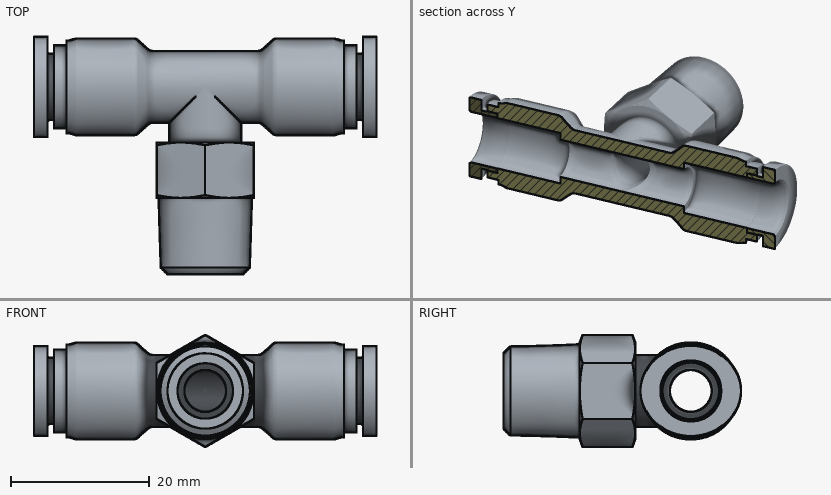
import cadquery as cq
import math


run_end = 24.7
flange_thickness = 2.0
collar_end = 21.8
socket_end = 20.0
lip_length = 0.4
lip_taper_length = 1.05
shoulder_outer = 10.0
shoulder_inner = 8.0
tube_stop = 10.0

pipe_diameter = 10.4
socket_diameter = 14.0
lip_diameter = 13.4
collar_diameter = 12.0
flow_bore = 6.0
tube_bore = 8.15
shoulder_fillet = 0.9

sleeve_diameter = 9.6
sleeve_bore = 8.2
sleeve_mouth_chamfer = 0.3
sleeve_inner_end = 20.2
flange_width = 14.5
flange_height = 13.0
flange_fillet = 0.2
sleeve_neck_fillet = 0.15

hex_start = 8.0
hex_end = 16.0
stud_end = 27.0
hex_across_flats = 14.0
hex_across_corners = hex_across_flats / math.cos(math.radians(30))
hex_face_diameter = 13.9
hex_chamfer_angle = 20.0
thread_root_diameter = 13.5
thread_taper = 1 / 16
thread_tip_chamfer = 1.0
stud_bore = 8.0

pick_margin = 0.1


def cylinder_x(diameter, start, end):
    """Cylinder on the X axis between two X positions."""
    return cq.Workplane("YZ", origin=(start, 0, 0)).circle(diameter / 2).extrude(end - start)


def cylinder_branch(diameter, start, end):
    """Cylinder on the branch axis between two distances from the run axis."""
    return cq.Workplane("XZ", origin=(0, -start, 0)).circle(diameter / 2).extrude(end - start)


def near_x(position):
    """Selector for edges whose centre lies on the X axis at the given position."""
    return cq.selectors.BoxSelector(
        (position - pick_margin, -pick_margin, -pick_margin),
        (position + pick_margin, pick_margin, pick_margin),
    )


def make_run():
    """Outer shape of the run: a pipe that widens into a socket at both ends."""
    pipe_radius = pipe_diameter / 2
    socket_radius = socket_diameter / 2
    lip_radius = lip_diameter / 2
    collar_radius = collar_diameter / 2
    lip_inner = socket_end - lip_length
    half_profile = [
        (shoulder_inner, pipe_radius),
        (shoulder_outer, socket_radius),
        (lip_inner - lip_taper_length, socket_radius),
        (lip_inner, lip_radius),
        (socket_end, lip_radius),
        (socket_end, collar_radius),
        (collar_end, collar_radius),
        (collar_end, 0),
    ]
    mirrored_profile = [(-x, radius) for x, radius in reversed(half_profile)]
    run = (
        cq.Workplane("XY")
        .polyline(half_profile + mirrored_profile)
        .close()
        .revolve(360, (0, 0, 0), (1, 0, 0))
    )
    for side in (-1, 1):
        shoulder_edges = near_x(side * shoulder_inner) + near_x(side * shoulder_outer)
        run = run.edges("%CIRCLE").edges(shoulder_edges).fillet(shoulder_fillet)
    return run


def make_tee():
    """Tee housing with a stepped bore along the run and a plain bore in the branch."""
    tee = make_run().union(cylinder_branch(pipe_diameter, 0, hex_start))
    tee = tee.cut(cylinder_x(flow_bore, -collar_end, collar_end))
    tee = tee.cut(cylinder_branch(flow_bore, 0, hex_start))
    for side in (-1, 1):
        tee = tee.cut(cylinder_x(tube_bore, side * tube_stop, side * collar_end))
        tee = tee.cut(cylinder_x(sleeve_diameter, side * sleeve_inner_end, side * collar_end))
    return tee


def make_sleeve():
    """Release sleeve at the +X end: an oval flange on a round sleeve."""
    flange_back = run_end - flange_thickness
    flange = (
        cq.Workplane("YZ", origin=(flange_back, 0, 0))
        .ellipse(flange_width / 2, flange_height / 2)
        .extrude(flange_thickness)
        .faces(">X")
        .edges()
        .fillet(flange_fillet)
    )
    sleeve = flange.union(cylinder_x(sleeve_diameter, sleeve_inner_end, flange_back))
    sleeve = sleeve.edges("%CIRCLE").edges(near_x(flange_back)).fillet(sleeve_neck_fillet)
    sleeve = sleeve.cut(cylinder_x(sleeve_bore, sleeve_inner_end, run_end))
    return sleeve.faces(">X").edges("%CIRCLE").chamfer(sleeve_mouth_chamfer)


def make_hex():
    """Hexagon with two flats facing +X and -X and its corners chamfered at both ends."""
    blank = (
        cq.Workplane("XZ", origin=(0, -hex_start, 0))
        .transformed(rotate=(0, 0, 90))
        .polygon(6, hex_across_corners)
        .extrude(hex_end - hex_start)
    )
    face_radius = hex_face_diameter / 2
    corner_radius = hex_across_corners / 2
    chamfer_depth = (corner_radius - face_radius) * math.tan(math.radians(hex_chamfer_angle))
    envelope = (
        cq.Workplane("XY")
        .moveTo(0, -hex_start)
        .lineTo(face_radius, -hex_start)
        .lineTo(corner_radius, -hex_start - chamfer_depth)
        .lineTo(corner_radius, -hex_end + chamfer_depth)
        .lineTo(face_radius, -hex_end)
        .lineTo(0, -hex_end)
        .close()
        .revolve(360, (0, 0, 0), (0, 1, 0))
    )
    return blank.intersect(envelope)


def make_stud():
    """Hexagon with a tapered spigot for the pipe thread, bored through."""
    taper_length = stud_end - thread_tip_chamfer - hex_end
    root_radius = thread_root_diameter / 2
    small_radius = root_radius - taper_length * thread_taper / 2
    spigot = (
        cq.Workplane("XY")
        .moveTo(0, -hex_end)
        .lineTo(root_radius, -hex_end)
        .lineTo(small_radius, -hex_end - taper_length)
        .lineTo(small_radius - thread_tip_chamfer, -stud_end)
        .lineTo(0, -stud_end)
        .close()
        .revolve(360, (0, 0, 0), (0, 1, 0))
    )
    return make_hex().union(spigot).cut(cylinder_branch(stud_bore, hex_start, stud_end))


tee = make_tee()
stud = make_stud()
sleeves = [make_sleeve().rotate((0, 0, 0), (0, 0, 1), angle) for angle in (0, 180)]

result = cq.Compound.makeCompound([tee.val(), stud.val(), *[sleeve.val() for sleeve in sleeves]])